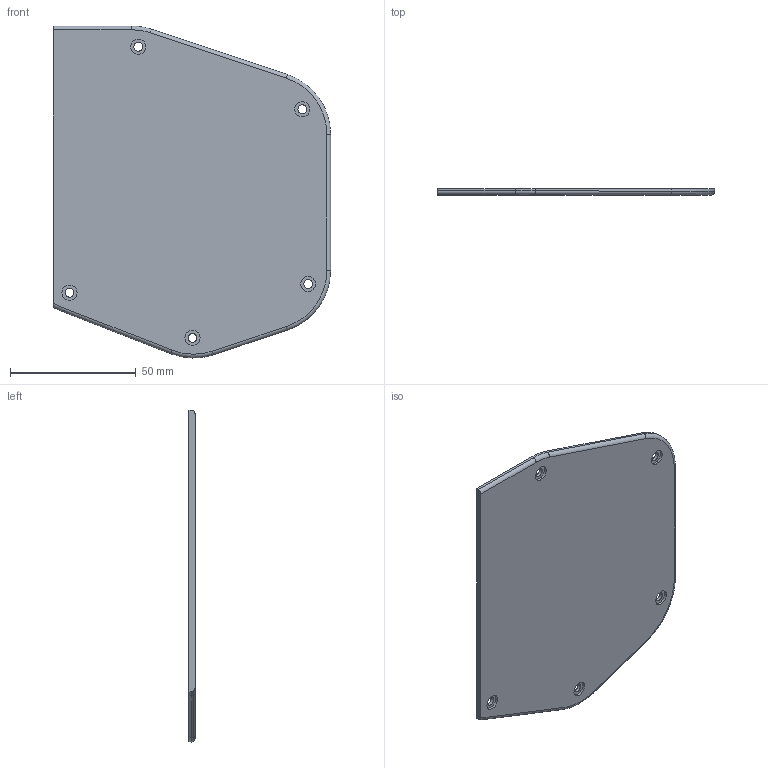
import cadquery as cq

width = 110.0
thickness = 2.4
corner_radius = 25.0
rim_radius = 1.5

top_corner_x = 35.0
bottom_corner_x = width / 2
right_edge_length = 90.0
right_slope = 1 / 3
left_line_z = -111.9
left_bend_x = 4.0
left_edge_length = 111.75

hole_diameter = 3.5
counterbore_diameter = 6.0
counterbore_depth = 1.0
hole_centers = [
    (33.7, -8.25),
    (98.8, -33.05),
    (101.1, -102.4),
    (6.4, -105.85),
    (55.2, -123.75),
]

upper_right_z = -(width - top_corner_x) * right_slope
lower_right_z = upper_right_z - right_edge_length
bottom_z = lower_right_z - (width - bottom_corner_x) * right_slope
left_slope = (left_line_z - bottom_z) / bottom_corner_x
left_bend_z = left_line_z - left_bend_x * left_slope


def make_plate():
    """Flat plate with the four corners right of the lower-left bend rounded."""
    sharp_plate = (
        cq.Workplane("XZ")
        .moveTo(0, 0)
        .lineTo(top_corner_x, 0)
        .lineTo(width, upper_right_z)
        .lineTo(width, lower_right_z)
        .lineTo(bottom_corner_x, bottom_z)
        .lineTo(left_bend_x, left_bend_z)
        .lineTo(0, -left_edge_length)
        .close()
        .extrude(-thickness)
    )
    corners = [edge for edge in sharp_plate.edges("|Y").vals() if edge.Center().x > 2 * left_bend_x]
    return sharp_plate.newObject(corners).fillet(corner_radius)


def round_front_rim(plate):
    """Round every front edge except the straight left one."""
    return plate.faces("<Y").edges("not(<X)").fillet(rim_radius)


def drill_holes(plate):
    """Screw holes through the plate, counterbored from the front face."""
    hole_points = cq.Workplane("XZ").pushPoints(hole_centers)
    holes = hole_points.circle(hole_diameter / 2).extrude(-thickness)
    counterbores = hole_points.circle(counterbore_diameter / 2).extrude(-counterbore_depth)
    return plate.cut(holes).cut(counterbores)


result = drill_holes(round_front_rim(make_plate()))